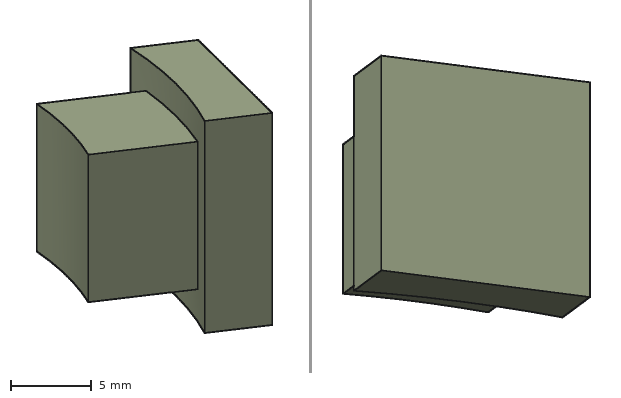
import cadquery as cq
import math

head_side = 14.0
boss_side = 9.75
total_depth = 11.34
head_edge_depth = 4.45
head_face_radius = 45.08
boss_face_radius = 38.0


def concave_block(side, edge_depth, face_radius):
    """Square block from Y = 0 toward -Y, its front face hollowed by an arc about a Z-parallel axis."""
    half = side / 2
    sagitta = face_radius - math.sqrt(face_radius**2 - half**2)
    return (
        cq.Workplane("XY")
        .moveTo(-half, 0)
        .lineTo(-half, -edge_depth)
        .threePointArc((0, sagitta - edge_depth), (half, -edge_depth))
        .lineTo(half, 0)
        .close()
        .extrude(half, both=True)
    )


head = concave_block(head_side, head_edge_depth, head_face_radius)
boss = concave_block(boss_side, total_depth, boss_face_radius)

result = head.union(boss).translate((0, total_depth / 2, 0))